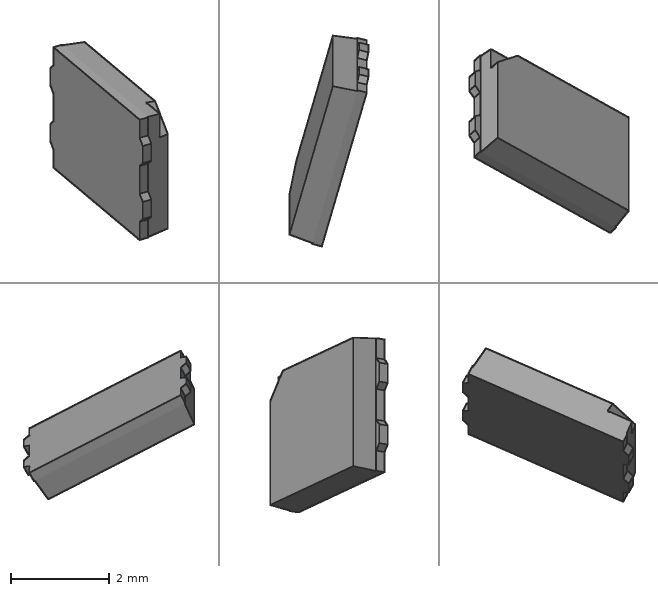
import cadquery as cq
import math

overall_length = 3.76
plate_length = 3.505
plate_height = 2.8
plate_thickness = 0.2
terminal_pitch = 1.3
terminal_root_width = 0.655
terminal_depth = (overall_length - plate_length) / 2
terminal_tip_width = terminal_root_width - 2 * terminal_depth

total_thickness = 0.7
lens_thickness = total_thickness - plate_thickness
lens_length = 3.465
lens_height = plate_height
draft_angle = 5.0

notch_leg = 0.515
notch_depth = 0.2


def terminal(side, z_center):
    """Trapezoidal terminal projecting from the plate; side is +1 or -1 along X."""
    root_x = side * plate_length / 2
    tip_x = side * overall_length / 2
    return (
        cq.Workplane("XZ")
        .polyline([
            (root_x, z_center - terminal_root_width / 2),
            (tip_x, z_center - terminal_tip_width / 2),
            (tip_x, z_center + terminal_tip_width / 2),
            (root_x, z_center + terminal_root_width / 2),
        ])
        .close()
        .extrude(-plate_thickness)
    )


def make_plate():
    plate = cq.Workplane("XZ").rect(plate_length, plate_height).extrude(-plate_thickness)
    for side in (-1, 1):
        for row in (-1, 1):
            plate = plate.union(terminal(side, row * terminal_pitch / 2))
    return plate


def make_lens():
    inset = lens_thickness * math.tan(math.radians(draft_angle))
    top_length = lens_length - 2 * inset
    top_height = lens_height - 2 * inset
    lens = (
        cq.Workplane("XZ", origin=(0, plate_thickness, 0))
        .rect(lens_length, lens_height)
        .workplane(offset=-lens_thickness)
        .rect(top_length, top_height)
        .loft(ruled=True)
    )
    overrun = 2 * inset
    corner_x = top_length / 2 + overrun
    corner_z = top_height / 2 + overrun
    cutter_leg = notch_leg + 2 * overrun
    notch = (
        cq.Workplane("XZ", origin=(0, total_thickness, 0))
        .polyline([
            (corner_x, corner_z),
            (corner_x - cutter_leg, corner_z),
            (corner_x, corner_z - cutter_leg),
        ])
        .close()
        .extrude(notch_depth)
    )
    return lens.cut(notch)


result = make_plate().union(make_lens())